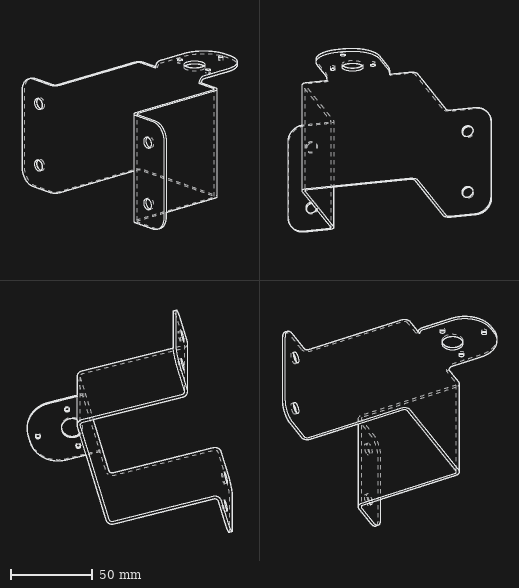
import cadquery as cq

thickness = 2.0
inner_bend = 2.1
outer_bend = inner_bend + thickness

overall_width = 130.0
channel_width = 74.0
channel_depth = 72.0
channel_height = 70.0

flange_corner_radius = 10.0
flange_hole_diameter = 7.0
flange_hole_spacing_x = 100.0
flange_hole_spacing_z = 40.0

tab_width = 40.0
tab_reach = 40.0
tab_corner_radius = 18.0
bore_diameter = 13.0
bore_from_tab_end = 27.5
screw_hole_diameter = 3.0
side_screw_offset = 12.9
side_screw_from_tab_end = 28.0
end_screw_from_tab_end = 5.7

half_width = overall_width / 2
half_channel = channel_width / 2
wall_inside = half_channel - thickness
back_inside = channel_depth - thickness
tab_end = channel_depth + tab_reach
tab_top = channel_height + outer_bend


def make_channel():
    """Bent strip in the XY plane, extruded along the channel height."""
    strip = (
        cq.Workplane("XY")
        .polyline([
            (-half_width, 0),
            (-wall_inside, 0),
            (-wall_inside, back_inside),
            (wall_inside, back_inside),
            (wall_inside, 0),
            (half_width, 0),
            (half_width, thickness),
            (half_channel, thickness),
            (half_channel, channel_depth),
            (-half_channel, channel_depth),
            (-half_channel, thickness),
            (-half_width, thickness),
        ])
        .close()
        .extrude(channel_height)
    )

    def bend_edges(x, y):
        points = [(side * x, y, channel_height / 2) for side in (-1, 1)]
        selector = cq.selectors.NearestToPointSelector
        return strip.edges("|Z").edges(selector(points[0]) + selector(points[1]))

    for x, y, radius in (
        (wall_inside, 0, outer_bend),
        (half_channel, thickness, inner_bend),
        (wall_inside, back_inside, inner_bend),
        (half_channel, channel_depth, outer_bend),
    ):
        strip = bend_edges(x, y).fillet(radius)

    return strip.edges("|Y and (<X or >X)").fillet(flange_corner_radius)


def make_tab():
    """Quarter bend above the back wall followed by a flat, rounded tab."""
    bend_center_y = channel_depth + inner_bend
    diagonal = 0.5 ** 0.5
    tab = (
        cq.Workplane("YZ")
        .moveTo(back_inside, channel_height)
        .threePointArc(
            (bend_center_y - outer_bend * diagonal, channel_height + outer_bend * diagonal),
            (bend_center_y, tab_top),
        )
        .lineTo(tab_end, tab_top)
        .lineTo(tab_end, tab_top - thickness)
        .lineTo(bend_center_y, tab_top - thickness)
        .threePointArc(
            (bend_center_y - inner_bend * diagonal, channel_height + inner_bend * diagonal),
            (channel_depth, channel_height),
        )
        .close()
        .extrude(tab_width / 2, both=True)
    )
    return tab.edges("|Z and >Y").fillet(tab_corner_radius)


def make_flange_holes():
    return (
        cq.Workplane("XZ")
        .center(0, channel_height / 2)
        .rarray(flange_hole_spacing_x, flange_hole_spacing_z, 2, 2)
        .circle(flange_hole_diameter / 2)
        .extrude(-thickness)
    )


def make_tab_holes():
    tab_face = cq.Workplane("XY", origin=(0, tab_end, tab_top))
    bore = tab_face.pushPoints([(0, -bore_from_tab_end)]).circle(bore_diameter / 2).extrude(-thickness)
    screws = (
        tab_face
        .pushPoints([
            (-side_screw_offset, -side_screw_from_tab_end),
            (side_screw_offset, -side_screw_from_tab_end),
            (0, -end_screw_from_tab_end),
        ])
        .circle(screw_hole_diameter / 2)
        .extrude(-thickness)
    )
    return bore.union(screws)


bracket = make_channel().union(make_tab())
result = bracket.cut(make_flange_holes()).cut(make_tab_holes())